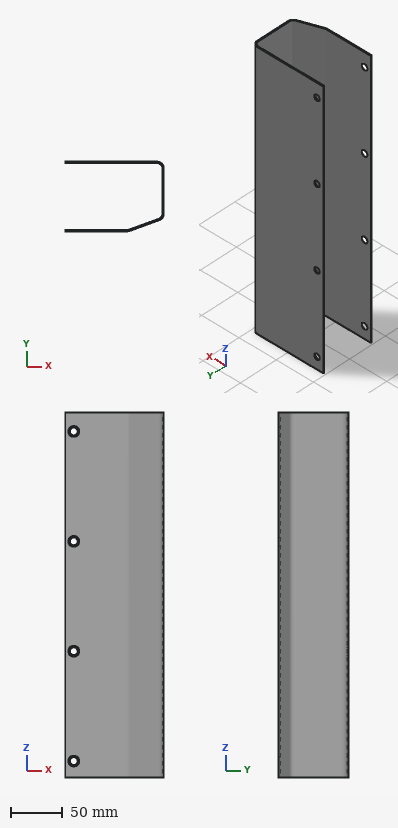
import cadquery as cq
import math

length = 95.5
width = 67.7
height = 352.5

thickness = 1.5
back_bend_radius = 7.0
front_bend_radius = 7.0
front_bend_x = 61.0
slope_angle = 20.0

hole_count = 4
hole_edge_distance = 8.5
bottom_hole_z = 16.0
hole_pitch = 106.0
hole_diameter = 7.5
countersink_diameter = 10.5

slope = math.radians(slope_angle)
slope_end_y = (length - front_bend_x) * math.tan(slope)


def make_solid_outline():
    """Solid prism bounded by the outer faces of the sheet, open end at X = 0."""
    prism = (
        cq.Workplane("XY")
        .polyline([
            (0, 0),
            (front_bend_x, 0),
            (length, slope_end_y),
            (length, width),
            (0, width),
        ])
        .close()
        .extrude(height)
    )
    prism = prism.edges(cq.NearestToPointSelector((length, width, height / 2))).fillet(back_bend_radius)
    for corner in [(front_bend_x, 0), (length, slope_end_y)]:
        selector = cq.NearestToPointSelector((*corner, height / 2))
        prism = prism.edges(selector).fillet(front_bend_radius)
    return prism


def make_channel():
    """Hollow the prism to one sheet thickness, open at -X and at both ends."""
    return make_solid_outline().faces("<X or <Z or >Z").shell(-thickness)


def make_hole_cutter(z):
    """Through hole along Y with a cone across the thickness of the front flange."""
    along_y = cq.Vector(0, 1, 0)
    start = cq.Vector(hole_edge_distance, 0, z)
    bore = cq.Solid.makeCylinder(hole_diameter / 2, width, start, along_y)
    countersink = cq.Solid.makeCone(
        countersink_diameter / 2, hole_diameter / 2, thickness, start, along_y
    )
    return bore.fuse(countersink)


result = make_channel()
for hole_index in range(hole_count):
    result = result.cut(make_hole_cutter(bottom_hole_z + hole_index * hole_pitch))